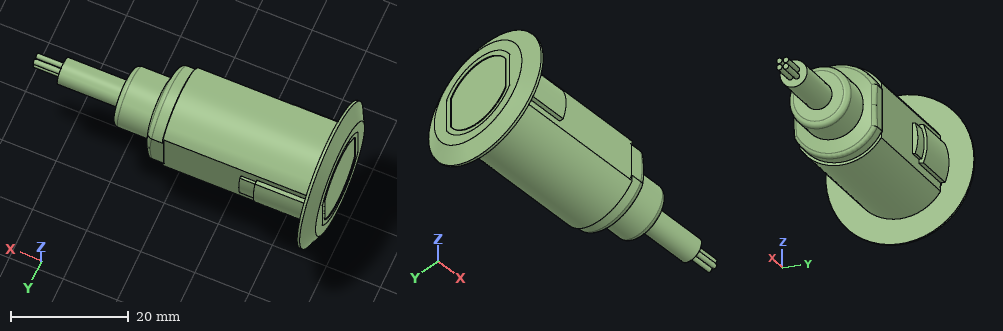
import cadquery as cq

TOTAL_LENGTH = 56.4

FLANGE_RADIUS = 13.51
FLANGE_FACE_RADIUS = 10.5
FLANGE_BEVEL_LENGTH = 1.65
FLANGE_THICKNESS = 2.15
SLEEVE_RADIUS = 8.95
SLEEVE_FLAT = 7.45
SLEEVE_END = 29.6

KEY_HALF_WIDTH = 3.5
KEY_END = 12.2
BOSS_RADIUS = 8.4
BOSS_HALF_WIDTH = 2.75
BOSS_END = 15.1

HEAD_RADIUS = 8.45
HEAD_FLAT = 7.55
HEAD_WALL = 1.0
CORE_RADIUS = HEAD_RADIUS - HEAD_WALL
CORE_FLAT = HEAD_FLAT - HEAD_WALL
WINDOW_DEPTH = 0.15
REAR_SEAT_DEPTH = 0.2
REAR_SHOULDER = 32.3
REAR_CONE_RISE = 0.9
REAR_FILLET = 0.95

RELIEF_RADIUS = 5.6
RELIEF_END = 39.8
RELIEF_FILLET = 1.0
CABLE_RADIUS = 2.5
CABLE_END = 51.3

WIRE_DIAMETER = 1.0
WIRE_PITCH = 1.2


def cylinder(radius, start, end):
    """Cylinder on the X axis between two X positions."""
    return cq.Workplane("YZ").workplane(offset=start).circle(radius).extrude(end - start)


def slab(half_width, half_height, start, end):
    """Box centred on the X axis, sized by half its Y width and half its Z height."""
    return (
        cq.Workplane("YZ")
        .workplane(offset=start)
        .rect(2 * half_width, 2 * half_height)
        .extrude(end - start)
    )


def flatted_cylinder(radius, flat, start, end):
    """Cylinder on the X axis with flats at Y = -flat and Y = +flat."""
    return cylinder(radius, start, end).intersect(slab(flat, radius, start, end))


def make_core():
    """Front head, core and rear seat of the insert, before the window is cut."""
    front_head = flatted_cylinder(HEAD_RADIUS, HEAD_FLAT, 0, FLANGE_THICKNESS)
    core = flatted_cylinder(CORE_RADIUS, CORE_FLAT, 0, SLEEVE_END)
    rear_seat = flatted_cylinder(HEAD_RADIUS, HEAD_FLAT, SLEEVE_END - REAR_SEAT_DEPTH, SLEEVE_END)
    return front_head.union(core).union(rear_seat)


def make_housing():
    flange = (
        cq.Workplane("XY")
        .moveTo(0, 0)
        .lineTo(0, FLANGE_FACE_RADIUS)
        .lineTo(FLANGE_BEVEL_LENGTH, FLANGE_RADIUS)
        .lineTo(FLANGE_THICKNESS, FLANGE_RADIUS)
        .lineTo(FLANGE_THICKNESS, 0)
        .close()
        .revolve(360, (0, 0, 0), (1, 0, 0))
    )
    sleeve = flatted_cylinder(SLEEVE_RADIUS, SLEEVE_FLAT, 0, SLEEVE_END)

    keys = cylinder(SLEEVE_RADIUS, 0, KEY_END).intersect(
        slab(SLEEVE_RADIUS, KEY_HALF_WIDTH, 0, KEY_END)
    )

    boss_half = slab(BOSS_RADIUS, BOSS_HALF_WIDTH, 0, BOSS_END).translate((0, BOSS_RADIUS, 0))
    boss = cylinder(BOSS_RADIUS, 0, BOSS_END).intersect(boss_half)

    return flange.union(sleeve).union(keys).union(boss).cut(make_core())


def make_rear_cap():
    """Flatted rear head with a shallow conical end and a rounded rim."""
    cone_tip = REAR_SHOULDER + REAR_CONE_RISE * HEAD_RADIUS / (HEAD_RADIUS - RELIEF_RADIUS)
    pointed = (
        cq.Workplane("XY")
        .moveTo(SLEEVE_END, 0)
        .lineTo(SLEEVE_END, HEAD_RADIUS)
        .lineTo(REAR_SHOULDER, HEAD_RADIUS)
        .lineTo(cone_tip, 0)
        .close()
        .revolve(360, (0, 0, 0), (1, 0, 0))
    )
    cap = pointed.intersect(slab(HEAD_FLAT, HEAD_RADIUS, SLEEVE_END, cone_tip))
    rim = cq.selectors.BoxSelector(
        (REAR_SHOULDER - REAR_FILLET, -FLANGE_RADIUS, -FLANGE_RADIUS),
        (REAR_SHOULDER + REAR_CONE_RISE, FLANGE_RADIUS, FLANGE_RADIUS),
    )
    return cap.edges(rim).fillet(REAR_FILLET)


def make_insert():
    window = flatted_cylinder(CORE_RADIUS, CORE_FLAT, 0, WINDOW_DEPTH)
    relief = cylinder(RELIEF_RADIUS, SLEEVE_END, RELIEF_END).faces(">X").edges().fillet(RELIEF_FILLET)
    cable = cylinder(CABLE_RADIUS, SLEEVE_END, CABLE_END)
    return make_core().cut(window).union(make_rear_cap()).union(relief).union(cable)


def make_wire(y, z):
    return cylinder(WIRE_DIAMETER / 2, CABLE_END, TOTAL_LENGTH).translate((0, y, z))


housing = make_housing()
insert = make_insert()
wire_offsets = (-WIRE_PITCH / 2, WIRE_PITCH / 2)
wire_solids = [make_wire(y, z).val() for y in wire_offsets for z in wire_offsets]

result = cq.Compound.makeCompound([housing.solids().val(), insert.solids().val(), *wire_solids])